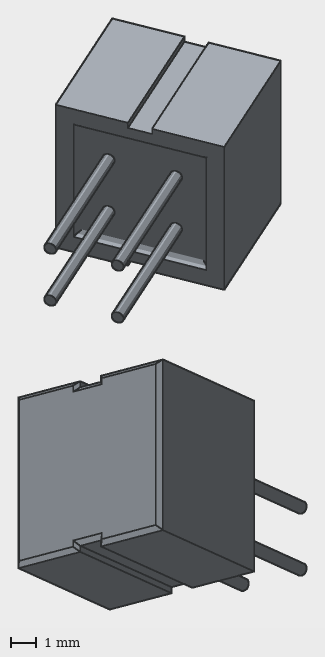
import cadquery as cq

body_width = 7.0
body_length = 6.0
sensor_chamfer = 0.2

groove_width = 1.0
groove_depth = 0.25

recess_width = 5.5
recess_depth = 0.25

pin_diameter = 0.5
pin_pitch_x = 2.8
pin_pitch_z = 2.54
pin_protrusion = 5.75


def block_along_y(size_x, size_z, y_start, y_end):
    """Box centred on the Y axis between two Y positions."""
    return (
        cq.Workplane("XY")
        .box(size_x, y_end - y_start, size_z)
        .translate((0, (y_start + y_end) / 2, 0))
    )


def make_housing():
    """Grooved block with the whole outline of its sensor side chamfered."""
    housing = block_along_y(body_width, body_width, 0, body_length)
    groove = block_along_y(groove_width, 2 * groove_depth, 0, body_length)
    for side in (-1, 1):
        housing = housing.cut(groove.translate((0, 0, side * body_width / 2)))
    return housing.faces(">Y").edges().chamfer(sensor_chamfer)


def make_recess():
    """Recess tool; it starts outside the housing so the floor fillet can span the full depth."""
    tool = block_along_y(recess_width, recess_width, -recess_depth, recess_depth)
    return tool.faces(">Y").edges().fillet(recess_depth)


def make_pins():
    """Four round pins running from the recess floor out of the pin side."""
    pin_length = recess_depth + pin_protrusion
    return (
        cq.Workplane("XZ", origin=(0, recess_depth, 0))
        .rarray(pin_pitch_x, pin_pitch_z, 2, 2)
        .circle(pin_diameter / 2)
        .extrude(pin_length)
    )


result = make_housing().cut(make_recess()).union(make_pins())